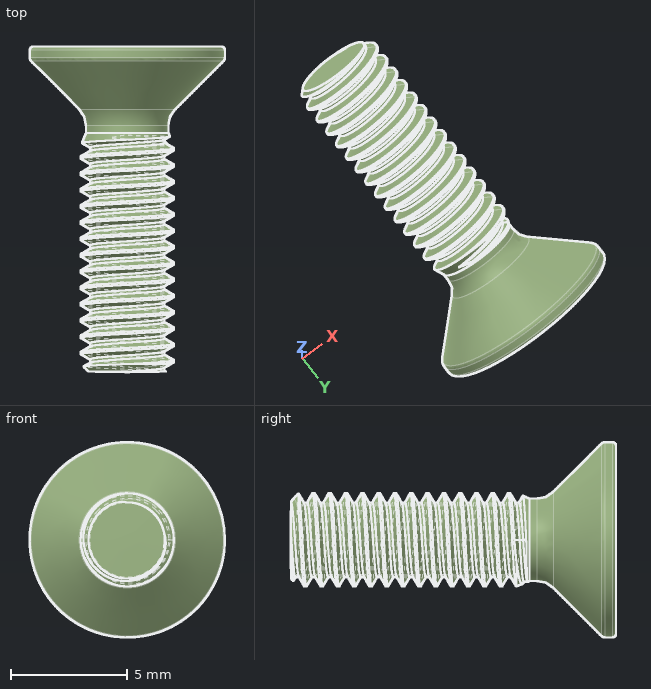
import cadquery as cq
import math


length = 14.0
tip_cone_height = 0.03

head_radius = 4.2
rim_fillet = 0.17
countersink_fillet = 0.22
rim_edge_depth = 0.57
neck_radius = 1.78
neck_fillet = 1.0
neck_end = 3.72

pitch = 0.7
major_radius = 2.0
root_radius = 1.61
root_flat = 0.15
flank_angle = 30.0
runout_angle = 22.0
lead_in_turns = 0.5
tip_radius = 1.67
groove_overlap = 0.05


def screw_blank():
    """Turned body before threading: head, neck, shank and chamfered tip."""
    runout_length = (major_radius - neck_radius) / math.tan(math.radians(runout_angle))
    countersink_end = rim_edge_depth + head_radius - neck_radius
    tip_plane = length - tip_cone_height
    chamfer_start = tip_plane - (major_radius - tip_radius)

    head = (
        cq.Workplane("XZ")
        .polyline([
            (0, 0),
            (head_radius, 0),
            (head_radius, rim_edge_depth),
            (neck_radius, countersink_end),
            (neck_radius, neck_end),
            (0, neck_end),
        ])
        .close()
        .revolve(360, (0, 0, 0), (0, 1, 0))
    )
    head = round_edge(head, head_radius, 0, rim_fillet)
    head = round_edge(head, head_radius, rim_edge_depth, countersink_fillet)
    head = round_edge(head, neck_radius, countersink_end, neck_fillet)

    shank = (
        cq.Workplane("XZ")
        .polyline([
            (0, neck_end),
            (neck_radius, neck_end),
            (major_radius, neck_end + runout_length),
            (major_radius, chamfer_start),
            (tip_radius, tip_plane),
            (0, length),
        ])
        .close()
        .revolve(360, (0, 0, 0), (0, 1, 0))
    )
    return head.union(shank)


def round_edge(body, radius, depth, fillet):
    """Fillet the circular edge of the given radius at the given depth."""
    tolerance = 0.001
    reach = radius + tolerance
    box = cq.selectors.BoxSelector(
        (-reach, -reach, depth - tolerance), (reach, reach, depth + tolerance), boundingbox=True
    )
    return body.edges(box).edges("%CIRCLE").fillet(fillet)


def groove_cutter(start_depth, turns, start_radius, start_angle, taper=None):
    """Sweep the trapezoidal groove along a helix; a taper (degrees) changes its radius."""
    if taper is None:
        helix = cq.Wire.makeHelix(pitch, turns * pitch, start_radius)
    else:
        slant_pitch = pitch / math.cos(math.radians(taper))
        helix = cq.Wire.makeHelix(slant_pitch, turns * slant_pitch, start_radius, angle=taper)
    outer_radius = start_radius + major_radius - root_radius + groove_overlap
    root_half = root_flat / 2
    outer_half = root_half + (outer_radius - start_radius) * math.tan(math.radians(flank_angle))
    cutter = (
        cq.Workplane("XZ")
        .polyline([
            (start_radius, -root_half),
            (start_radius, root_half),
            (outer_radius, outer_half),
            (outer_radius, -outer_half),
        ])
        .close()
        .sweep(cq.Workplane(obj=helix), isFrenet=True)
    )
    return cutter.rotate((0, 0, 0), (0, 0, 1), start_angle).translate((0, 0, start_depth))


def lead_in_groove():
    """Half turn in which the groove sinks from the surface to full depth."""
    lead_in_length = lead_in_turns * pitch
    taper = -math.degrees(math.atan((major_radius - root_radius) / lead_in_length))
    return groove_cutter(neck_end, lead_in_turns, major_radius, 180, taper)


def cut_thread(body):
    """Cut the lead-in, then the full-depth groove one turn at a time out past the tip."""
    start_depth = neck_end + lead_in_turns * pitch
    start_angle = 180 + 360 * lead_in_turns
    turns = math.ceil((length - start_depth) / pitch) + 1
    for turn in range(turns):
        body = body.cut(groove_cutter(start_depth + turn * pitch, 1, root_radius, start_angle))
    return body.cut(lead_in_groove())


screw = cut_thread(screw_blank())
result = screw.rotate((0, 0, 0), (1, 0, 0), 90)